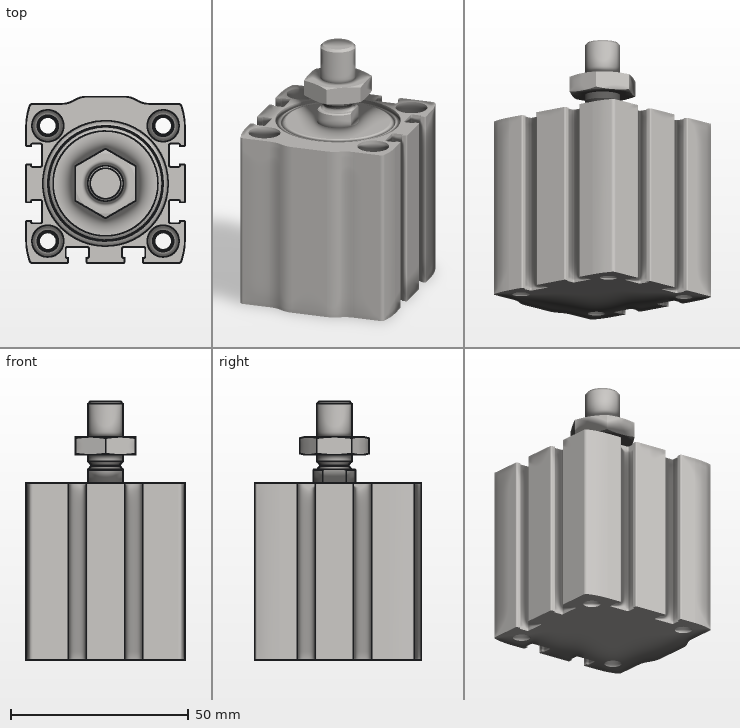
import cadquery as cq
import math

BODY_SIDE = 45.0
BODY_HEIGHT = 50.0
HALF_SIDE = BODY_SIDE / 2

FLANK_FLAT_HALF = 15.55
FLANK_RADIUS = 20.0
CORNER_RADIUS = 1.0
BACK_RISE = 2.05
BACK_TOP_HALF = 5.25
BACK_BEND_HALF = 8.8
BACK_BASE_HALF = 12.4

SLOT_OFFSET = 7.95
SLOT_DEPTH = 4.5
SLOT_THROAT_WIDTH = 5.2
SLOT_INNER_WIDTH = 6.5
SLOT_LIP = 1.45
SLOT_RADIUS = 0.4
SLOT_OVERSHOOT = 1.45

HOLE_OFFSET = 16.3
HOLE_DIAMETER = 4.9
HOLE_MOUTH_DIAMETER = 5.9
COUNTERBORE_DIAMETER = 9.0
COUNTERBORE_DEPTH = 5.0

RECESS_RADIUS = 35.4 / 2
RECESS_DEPTH = 1.25
CREST_RADIUS = 16.3
CREST_DEPTH = 0.4
VALLEY_RADIUS = 32.0 / 2
VALLEY_DEPTH = 0.95
SHOULDER_RADIUS = 15.2
SHOULDER_DEPTH = 0.3
COVER_RADIUS = 14.8
COVER_DEPTH = 0.15

ROD_TOP_Z = 73.0
ROD_DIAMETER = 12.0
THREAD_DIAMETER = 10.0
THREAD_END_DIAMETER = 8.6
NECK_DIAMETER = 8.1
THREAD_CHAMFER = (THREAD_DIAMETER - THREAD_END_DIAMETER) / 2
THREAD_START_Z = 56.15
NECK_TOP_Z = 55.0
NECK_BOTTOM_Z = 54.75
COLLAR_Z = 53.95
COLLAR_CHAMFER = 0.3

NUT_WIDTH = 17.0
NUT_THICKNESS = 5.05
NUT_TOP_Z = 63.0
NUT_CHAMFER_ANGLE = 15.0


def body_block():
    """Extruded outline: flanks curve in towards the corners, the back rises in S-curves."""
    arc_center_x = HALF_SIDE - FLANK_RADIUS
    arc_angle = math.asin((HALF_SIDE - FLANK_FLAT_HALF) / FLANK_RADIUS)
    corner_x = arc_center_x + FLANK_RADIUS * math.cos(arc_angle)
    mid_x = arc_center_x + FLANK_RADIUS * math.cos(arc_angle / 2)
    mid_y = FLANK_FLAT_HALF + FLANK_RADIUS * math.sin(arc_angle / 2)

    back_y = HALF_SIDE + BACK_RISE
    bend_share = (BACK_BASE_HALF - BACK_BEND_HALF) / (BACK_BASE_HALF - BACK_TOP_HALF)
    bend_y = HALF_SIDE + BACK_RISE * bend_share

    block = (
        cq.Workplane("XY")
        .moveTo(-corner_x, -HALF_SIDE)
        .lineTo(corner_x, -HALF_SIDE)
        .threePointArc((mid_x, -mid_y), (HALF_SIDE, -FLANK_FLAT_HALF))
        .lineTo(HALF_SIDE, FLANK_FLAT_HALF)
        .threePointArc((mid_x, mid_y), (corner_x, HALF_SIDE))
        .lineTo(BACK_BASE_HALF, HALF_SIDE)
        .tangentArcPoint((BACK_BEND_HALF, bend_y), relative=False)
        .tangentArcPoint((BACK_TOP_HALF, back_y), relative=False)
        .lineTo(-BACK_TOP_HALF, back_y)
        .tangentArcPoint((-BACK_BEND_HALF, bend_y), relative=False)
        .tangentArcPoint((-BACK_BASE_HALF, HALF_SIDE), relative=False)
        .lineTo(-corner_x, HALF_SIDE)
        .threePointArc((-mid_x, mid_y), (-HALF_SIDE, FLANK_FLAT_HALF))
        .lineTo(-HALF_SIDE, -FLANK_FLAT_HALF)
        .threePointArc((-mid_x, -mid_y), (-corner_x, -HALF_SIDE))
        .close()
        .extrude(BODY_HEIGHT)
    )
    corners = block.edges("|Z").filter(lambda edge: abs(abs(edge.Center().x) - corner_x) < CORNER_RADIUS / 10)
    return corners.fillet(CORNER_RADIUS)


def slot_cutter():
    """T-slot in the +X flank: a round-cornered channel behind a throat with rounded lips."""
    floor_x = HALF_SIDE - SLOT_DEPTH
    lip_x = HALF_SIDE - SLOT_LIP
    channel = (
        cq.Workplane("XY")
        .center((floor_x + lip_x) / 2, 0)
        .rect(lip_x - floor_x, SLOT_INNER_WIDTH)
        .extrude(BODY_HEIGHT)
        .edges("|Z")
        .fillet(SLOT_RADIUS)
    )
    throat = (
        cq.Workplane("XY")
        .center((floor_x + HALF_SIDE) / 2, 0)
        .rect(SLOT_DEPTH, SLOT_THROAT_WIDTH)
        .extrude(BODY_HEIGHT)
    )
    outside = (
        cq.Workplane("XY")
        .center(HALF_SIDE + SLOT_OVERSHOOT / 2, 0)
        .rect(SLOT_OVERSHOOT, SLOT_INNER_WIDTH)
        .extrude(BODY_HEIGHT)
    )
    mouth = throat.union(outside)
    lips = mouth.edges("|Z").filter(
        lambda edge: abs(edge.Center().x - HALF_SIDE) < SLOT_LIP / 2
        and abs(edge.Center().y) < (SLOT_THROAT_WIDTH + SLOT_INNER_WIDTH) / 4
    )
    return lips.fillet(SLOT_RADIUS).union(channel)


def corner_hole_cutter():
    """Counterbored hole whose mouth narrows by a 45 degree chamfer."""
    floor_z = BODY_HEIGHT - COUNTERBORE_DEPTH
    hole_radius = HOLE_DIAMETER / 2
    mouth_radius = HOLE_MOUTH_DIAMETER / 2
    return (
        cq.Workplane("XZ")
        .lineTo(hole_radius, 0)
        .lineTo(hole_radius, floor_z - (mouth_radius - hole_radius))
        .lineTo(mouth_radius, floor_z)
        .lineTo(COUNTERBORE_DIAMETER / 2, floor_z)
        .lineTo(COUNTERBORE_DIAMETER / 2, BODY_HEIGHT)
        .lineTo(0, BODY_HEIGHT)
        .close()
        .revolve(360, (0, 0, 0), (0, 1, 0))
    )


def cover_recess_cutter():
    """Round recess whose floor is the rod cover, with a sloping wavy rim around a flat disc."""
    return (
        cq.Workplane("XZ")
        .moveTo(0, BODY_HEIGHT)
        .lineTo(RECESS_RADIUS, BODY_HEIGHT)
        .lineTo(RECESS_RADIUS, BODY_HEIGHT - RECESS_DEPTH)
        .lineTo(CREST_RADIUS, BODY_HEIGHT - CREST_DEPTH)
        .lineTo(VALLEY_RADIUS, BODY_HEIGHT - VALLEY_DEPTH)
        .lineTo(SHOULDER_RADIUS, BODY_HEIGHT - SHOULDER_DEPTH)
        .lineTo(COVER_RADIUS, BODY_HEIGHT - COVER_DEPTH)
        .lineTo(0, BODY_HEIGHT - COVER_DEPTH)
        .close()
        .revolve(360, (0, 0, 0), (0, 1, 0))
    )


def make_housing():
    """Cylinder housing with T-slots on three sides and four mounting holes."""
    housing = body_block()
    slot = slot_cutter()
    for side_angle in (0, 180, 270):
        for offset in (-SLOT_OFFSET, SLOT_OFFSET):
            placed_slot = slot.translate((0, offset, 0)).rotate((0, 0, 0), (0, 0, 1), side_angle)
            housing = housing.cut(placed_slot)
    hole = corner_hole_cutter()
    for x in (-HOLE_OFFSET, HOLE_OFFSET):
        for y in (-HOLE_OFFSET, HOLE_OFFSET):
            housing = housing.cut(hole.translate((x, y, 0)))
    return housing.cut(cover_recess_cutter())


def make_rod():
    """Threaded rod end standing on the cover, with two wrench flats on its collar."""
    base_z = BODY_HEIGHT - COVER_DEPTH
    rod_radius = ROD_DIAMETER / 2
    thread_radius = THREAD_DIAMETER / 2
    thread_end_radius = THREAD_END_DIAMETER / 2
    neck_radius = NECK_DIAMETER / 2
    thread_end_z = THREAD_START_Z - THREAD_CHAMFER
    rod = (
        cq.Workplane("XZ")
        .moveTo(0, base_z)
        .lineTo(rod_radius, base_z)
        .lineTo(rod_radius, COLLAR_Z - COLLAR_CHAMFER)
        .lineTo(rod_radius - COLLAR_CHAMFER, COLLAR_Z)
        .lineTo(neck_radius + NECK_BOTTOM_Z - COLLAR_Z, COLLAR_Z)
        .lineTo(neck_radius, NECK_BOTTOM_Z)
        .lineTo(neck_radius, NECK_TOP_Z)
        .lineTo(thread_end_radius, thread_end_z)
        .lineTo(thread_radius, THREAD_START_Z)
        .lineTo(thread_radius, ROD_TOP_Z - THREAD_CHAMFER)
        .lineTo(thread_end_radius, ROD_TOP_Z)
        .lineTo(0, ROD_TOP_Z)
        .close()
        .revolve(360, (0, 0, 0), (0, 1, 0))
    )
    for side in (-1, 1):
        flat_cutter = (
            cq.Workplane("XY", origin=(side * (thread_radius + rod_radius / 2), 0, BODY_HEIGHT))
            .rect(rod_radius, ROD_DIAMETER)
            .extrude(COLLAR_Z - BODY_HEIGHT)
        )
        rod = rod.cut(flat_cutter)
    return rod


def make_nut():
    """Hexagon nut with corners along Y, chamfered on both faces."""
    corner_radius = NUT_WIDTH / 2 / math.cos(math.radians(30))
    face_radius = NUT_WIDTH / 2
    chamfer_drop = (corner_radius - face_radius) * math.tan(math.radians(NUT_CHAMFER_ANGLE))
    bottom_z = NUT_TOP_Z - NUT_THICKNESS
    hexagon = (
        cq.Workplane("XY", origin=(0, 0, bottom_z))
        .polygon(6, 2 * corner_radius)
        .extrude(NUT_THICKNESS)
        .rotate((0, 0, 0), (0, 0, 1), 30)
    )
    chamfer_envelope = (
        cq.Workplane("XZ")
        .moveTo(0, bottom_z)
        .lineTo(face_radius, bottom_z)
        .lineTo(corner_radius, bottom_z + chamfer_drop)
        .lineTo(corner_radius, NUT_TOP_Z - chamfer_drop)
        .lineTo(face_radius, NUT_TOP_Z)
        .lineTo(0, NUT_TOP_Z)
        .close()
        .revolve(360, (0, 0, 0), (0, 1, 0))
    )
    bore = (
        cq.Workplane("XY", origin=(0, 0, bottom_z))
        .circle(THREAD_DIAMETER / 2)
        .extrude(NUT_THICKNESS)
    )
    return hexagon.intersect(chamfer_envelope).cut(bore)


housing = make_housing()
rod = make_rod()
nut = make_nut()

result = cq.Compound.makeCompound([housing.val(), rod.val(), nut.val()])